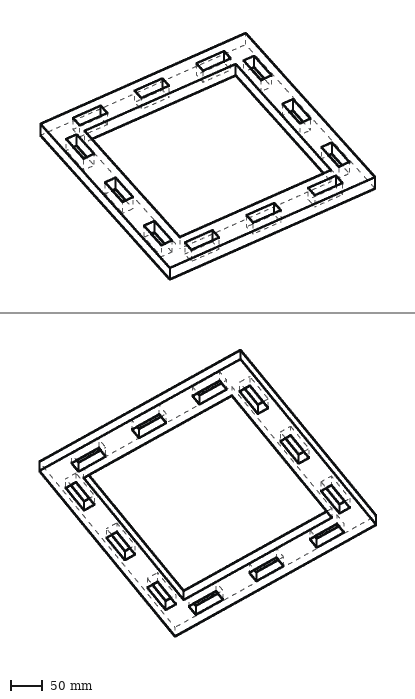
import cadquery as cq

outer_side = 381.0
thickness = 25.5
opening_side = 280.5

slot_length = 51.5
slot_width = 19.5
slot_row_offset = 164.5
slot_pitch = (opening_side - slot_length) / 2


def make_frame():
    """Square plate with a square central opening."""
    return (
        cq.Workplane("XY")
        .rect(outer_side, outer_side)
        .rect(opening_side, opening_side)
        .extrude(thickness)
    )


def make_slot_row():
    """Cutters for the three slots along the +Y side."""
    centres = [(step * slot_pitch, slot_row_offset) for step in (-1, 0, 1)]
    return (
        cq.Workplane("XY")
        .pushPoints(centres)
        .rect(slot_length, slot_width)
        .extrude(thickness)
    )


result = make_frame()
slot_row = make_slot_row()
for angle in (0, 90, 180, 270):
    result = result.cut(slot_row.rotate((0, 0, 0), (0, 0, 1), angle))